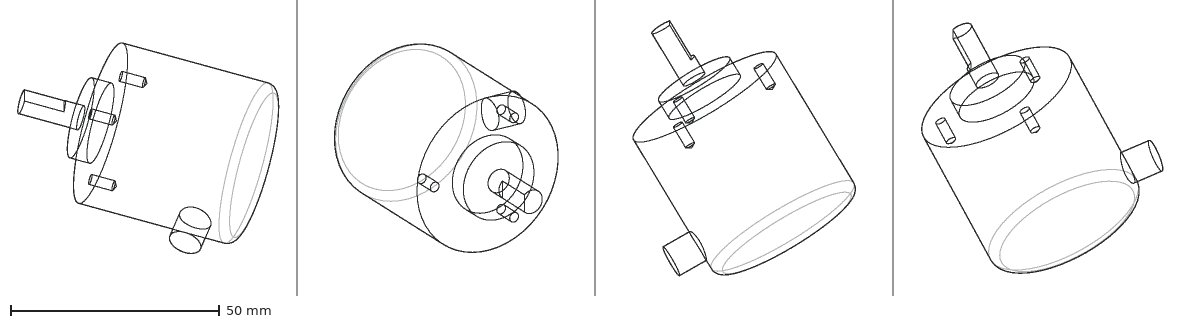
import cadquery as cq
import math

total_length = 59.0
shaft_length = 15.0
pilot_length = 5.0
face_x = shaft_length + pilot_length

body_diameter = 40.0
pilot_diameter = body_diameter / 2
shaft_diameter = 6.0
rear_fillet = 2.0

flat_length = 10.05
flat_offset = 2.0

cable_diameter = 8.0
cable_x = 51.0
cable_reach = 27.5

hole_count = 3
hole_diameter = 2.5
hole_circle_radius = 15.0
hole_depth = 5.9
drill_point_angle = 118.0


def cylinder_along_x(start, length, diameter):
    return cq.Workplane("YZ", origin=(start, 0, 0)).circle(diameter / 2).extrude(length)


def make_housing():
    housing = cylinder_along_x(face_x, total_length - face_x, body_diameter)
    return housing.faces(">X").edges().fillet(rear_fillet)


def make_shaft():
    shaft = cylinder_along_x(0, face_x, shaft_diameter)
    flat_cutter = (
        cq.Workplane("XY", origin=(0, flat_offset, 0))
        .box(flat_length, shaft_diameter, shaft_diameter, centered=(False, False, True))
    )
    return shaft.cut(flat_cutter)


def make_cable_outlet():
    plane = cq.Workplane("XZ", origin=(cable_x, 0, 0))
    return plane.circle(cable_diameter / 2).extrude(cable_reach)


def make_drilled_hole(angle):
    radius = hole_diameter / 2
    tip_length = radius / math.tan(math.radians(drill_point_angle / 2))
    profile = [(0, 0), (hole_depth + tip_length, 0), (hole_depth, radius), (0, radius)]
    drill = cq.Workplane("XY").polyline(profile).close().revolve(360, (0, 0, 0), (1, 0, 0))
    placed_drill = drill.translate((face_x, hole_circle_radius, 0))
    return placed_drill.rotate((0, 0, 0), (1, 0, 0), angle)


pilot = cylinder_along_x(shaft_length, pilot_length, pilot_diameter)
result = make_housing().union(pilot).union(make_shaft()).union(make_cable_outlet())
for index in range(hole_count):
    result = result.cut(make_drilled_hole(index * 360 / hole_count))